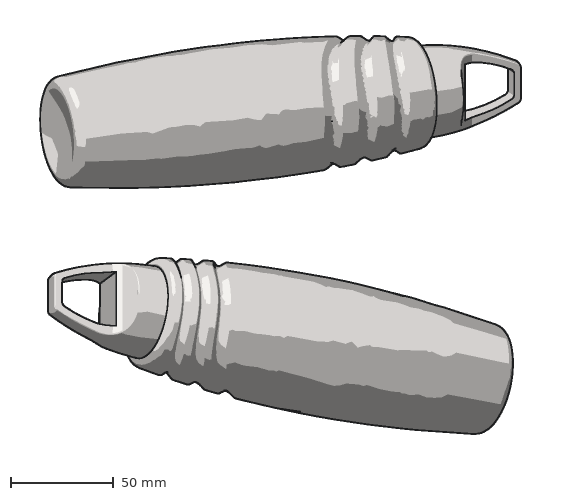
import cadquery as cq
import math

total_length = 240.5

belly_radius = 33.7
belly_y = 98.5
base_radius = 26.7
base_fillet = 4.8
shoulder_radius = 27.0
shoulder_y = 188.2
shoulder_fillet = 3.5
recess_radius = 21.6
recess_depth = 4.0
recess_edge_fillet = 0.5

grooves = [
    ((182.7, 172.4), (178.0, 164.0)),
    ((174.0, 154.5), (168.3, 144.7)),
    ((164.5, 136.0), (157.7, 126.5)),
]
groove_depth = 2.2
groove_deepest = 0.32
groove_flare = 0.3
groove_sections = 13
groove_edge_fillet = 1.0
cutter_margin = 2.5

cap_radius = 22.8
cap_mid_radius = 19.2
cap_mid_y = 214.7
tip_radius = 9.9
tip_fillet = 2.5
loop_tip_half = 4.0
loop_root_half = 5.0
scoop_foot_y = 203.5
scoop_radius = 15.6
loop_edge_fillet = 1.0

window_bottom_y = 209.1
window_bottom_half = 14.2
window_mid_y = 225.7
window_mid_half = 11.3
window_top_y = 236.5
window_top_half = 6.7
window_corner_fillet = 3.0


def arc_radius(height, sag):
    """Radius of an arc that drops by `sag` over `height`, starting tangentially."""
    return (height**2 + sag**2) / (2 * sag)


def side_radius(y, end_y, end_radius):
    """Radius of the bottle side at `y`, on the arc from the belly to the given end."""
    arc = arc_radius(end_y - belly_y, belly_radius - end_radius)
    return belly_radius - arc + math.sqrt(arc**2 - (y - belly_y) ** 2)


def make_half_blank():
    """The +Z half of the bottle side, half a turn about the Y axis."""
    dome_radius = arc_radius(recess_radius, recess_depth)
    recess_mid_y = recess_depth - dome_radius + math.sqrt(dome_radius**2 - (recess_radius / 2) ** 2)
    lower_mid_y = belly_y / 2
    lower_mid = (side_radius(lower_mid_y, 0, base_radius), lower_mid_y)
    upper_mid_y = (belly_y + shoulder_y) / 2
    upper_mid = (side_radius(upper_mid_y, shoulder_y, shoulder_radius), upper_mid_y)
    side_points = [lower_mid, (belly_radius, belly_y), upper_mid, (shoulder_radius, shoulder_y)]
    half = (
        cq.Workplane("XY")
        .moveTo(0, recess_depth)
        .threePointArc((recess_radius / 2, recess_mid_y), (recess_radius, 0))
        .lineTo(base_radius, 0)
        .spline(side_points, includeCurrent=True)
        .lineTo(0, shoulder_y)
        .close()
        .revolve(180, (0, 0, 0), (0, -1, 0))
    )
    half = half.faces("<Y").edges(cq.selectors.RadiusNthSelector(0)).fillet(recess_edge_fillet)
    half = half.faces("<Y").edges(cq.selectors.RadiusNthSelector(-1)).fillet(base_fillet)
    return half.faces(">Y").edges("%CIRCLE").fillet(shoulder_fillet)


def edge_height(ends, angle):
    """Height of a groove edge at an angle around the bottle, easing from the -X to the +X side."""
    across = (1 - math.cos(angle)) / 2
    return ends[0] + (ends[1] - ends[0]) * across**2 * (3 - 2 * across)


def groove_section(upper_ends, lower_ends, angle):
    """Groove cross-section in the half-plane through the Y axis at an angle from -X."""

    def at(radius, y):
        return cq.Vector(-radius * math.cos(angle), y, radius * math.sin(angle))

    def surface(y):
        return side_radius(y, shoulder_y, shoulder_radius)

    upper_y = edge_height(upper_ends, angle)
    lower_y = edge_height(lower_ends, angle)
    deep_y = upper_y + (lower_y - upper_y) * groove_deepest
    upper = at(surface(upper_y), upper_y)
    deep = at(surface(deep_y) - groove_depth, deep_y)
    lower = at(surface(lower_y), lower_y)
    upper_flare = upper + (upper - deep) * groove_flare
    lower_flare = lower + (lower - deep) * groove_flare
    outer_radius = belly_radius + cutter_margin
    outer_lower = at(outer_radius, lower_flare.y)
    outer_upper = at(outer_radius, upper_flare.y)
    return cq.Wire.assembleEdges(
        [
            cq.Edge.makeSpline([upper_flare, upper, deep, lower, lower_flare]),
            cq.Edge.makeLine(lower_flare, outer_lower),
            cq.Edge.makeLine(outer_lower, outer_upper),
            cq.Edge.makeLine(outer_upper, upper_flare),
        ]
    )


def make_half_groove(upper_ends, lower_ends):
    """Cutter for the +Z half of one groove, lofted from the -X to the +X side."""
    angles = [math.pi * i / (groove_sections - 1) for i in range(groove_sections)]
    sections = [groove_section(upper_ends, lower_ends, angle) for angle in angles]
    return cq.Workplane(obj=cq.Solid.makeLoft(sections))


def is_groove_rim(edge):
    """True for the edges along a groove, whose centres lie well off the cut face at Z = 0."""
    centre = edge.Center()
    return centre.z > cutter_margin and belly_y < centre.y < shoulder_y - shoulder_fillet


def make_bottle():
    """Grooved half joined to its mirror image."""
    half = make_half_blank()
    for upper_ends, lower_ends in grooves:
        half = half.cut(make_half_groove(upper_ends, lower_ends))
    half = half.edges().filter(is_groove_rim).fillet(groove_edge_fillet)
    return half.union(half.mirror("XY"), clean=False)


def make_scoop():
    """Space beside the loop on the +X side, running the full width along Z."""
    foot_x = loop_root_half + scoop_radius
    arc_y = scoop_foot_y + scoop_radius
    diagonal = scoop_radius * math.sqrt(0.5)
    outer_x = cap_radius + cutter_margin
    top_y = total_length
    return (
        cq.Workplane("XY")
        .moveTo(loop_tip_half, top_y)
        .lineTo(loop_root_half, arc_y)
        .threePointArc((foot_x - diagonal, arc_y - diagonal), (foot_x, scoop_foot_y))
        .lineTo(outer_x, scoop_foot_y)
        .lineTo(outer_x, top_y)
        .close()
        .extrude(cap_radius + cutter_margin, both=True)
    )


def make_window():
    """Rounded tapered opening through the loop along X."""
    return (
        cq.Workplane("YZ")
        .moveTo(window_bottom_y, -window_bottom_half)
        .threePointArc((window_mid_y, -window_mid_half), (window_top_y, -window_top_half))
        .lineTo(window_top_y, window_top_half)
        .threePointArc((window_mid_y, window_mid_half), (window_bottom_y, window_bottom_half))
        .close()
        .extrude(cap_radius + cutter_margin, both=True)
        .faces(">Y")
        .edges("|X")
        .fillet(window_corner_fillet)
    )


def is_loop_rim(edge):
    """True for the edges between the scooped faces and the cap dome, above the scoop foot."""
    centre = edge.Center()
    return centre.y > scoop_foot_y + loop_edge_fillet and abs(centre.x) > loop_tip_half


def make_cap():
    dome = (
        cq.Workplane("XY")
        .moveTo(0, shoulder_y)
        .lineTo(cap_radius, shoulder_y)
        .threePointArc((cap_mid_radius, cap_mid_y), (tip_radius, total_length))
        .lineTo(0, total_length)
        .close()
        .revolve(360, (0, 0, 0), (0, 1, 0))
        .faces(">Y")
        .edges()
        .fillet(tip_fillet)
    )
    scoop = make_scoop()
    cap = dome.cut(scoop).cut(scoop.mirror("YZ"))
    loop_rims = cap.edges("not %LINE").filter(is_loop_rim)
    cap = loop_rims.fillet(loop_edge_fillet)
    return cap.cut(make_window())


bottle = make_bottle()
cap = make_cap()

result = cq.Compound.makeCompound([bottle.solids().val(), cap.solids().val()])